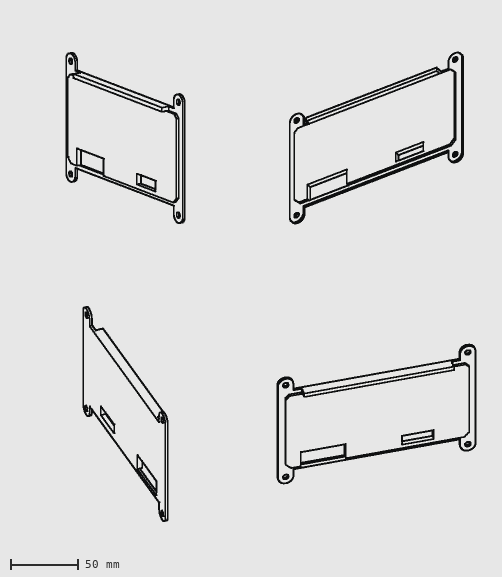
import cadquery as cq

plate_length = 153.0
plate_height = 75.0
plate_thickness = 2.0

overall_height = 99.0
lug_width = 12.0
lug_radius = lug_width / 2
lug_hole_diameter = 4.3
lug_center_x = plate_length / 2 - lug_radius
lug_center_z = overall_height / 2 - lug_radius

edge_margin = 3.25
pad_length = 142.1
pad_height = plate_height - 2 * edge_margin
pad_thickness = 2.0
pad_top_corner = 3.0
pad_bottom_corner = 4.0
pad_bottom_z = -pad_height / 2

overall_depth = 8.0
rail_length = 116.0
rail_height = edge_margin
rail_depth = overall_depth - plate_thickness

large_window_length = 35.0
large_window_height = 13.25
large_window_left_x = -59.5
large_window_bottom_z = pad_bottom_z
small_window_length = 24.5
small_window_height = 8.25
small_window_left_x = 19.0
small_window_bottom_z = pad_bottom_z + edge_margin


def block(length, depth, height, left_x, back_y, bottom_z):
    """Box reaching from back_y towards -Y, placed by its left and bottom sides."""
    return cq.Workplane("XY").box(length, depth, height, centered=False).translate(
        (left_x, back_y - depth, bottom_z)
    )


def make_plate():
    plate = cq.Workplane("XZ").rect(plate_length - lug_width, plate_height).extrude(plate_thickness)
    strips = (
        cq.Workplane("XZ")
        .pushPoints([(-lug_center_x, 0), (lug_center_x, 0)])
        .slot2D(overall_height, lug_width, 90)
        .extrude(plate_thickness)
    )
    holes = (
        cq.Workplane("XZ")
        .rect(2 * lug_center_x, 2 * lug_center_z, forConstruction=True)
        .vertices()
        .circle(lug_hole_diameter / 2)
        .extrude(plate_thickness)
    )
    return plate.union(strips).cut(holes)


def make_pad():
    pad = block(pad_length, pad_thickness, pad_height, -pad_length / 2, -plate_thickness, pad_bottom_z)
    pad = pad.edges("|Y and >Z").chamfer(pad_top_corner)
    return pad.edges("|Y and <Z").chamfer(pad_bottom_corner)


def make_rail():
    return block(
        rail_length,
        rail_depth,
        rail_height,
        -rail_length / 2,
        -plate_thickness,
        plate_height / 2 - rail_height,
    )


def make_window(length, height, left_x, bottom_z):
    return block(length, plate_thickness + pad_thickness, height, left_x, 0, bottom_z)


large_window = make_window(
    large_window_length, large_window_height, large_window_left_x, large_window_bottom_z
)
small_window = make_window(
    small_window_length, small_window_height, small_window_left_x, small_window_bottom_z
)

result = make_plate().union(make_pad()).union(make_rail()).cut(large_window).cut(small_window)